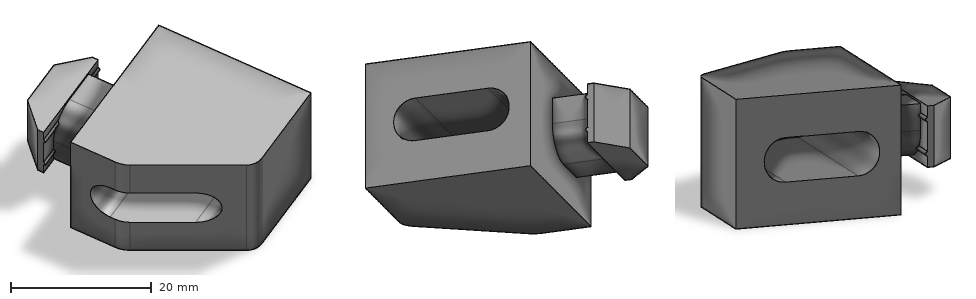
import cadquery as cq
import math

overall_length = 36.3
body_side = 25.0
body_height = 19.0
body_left = overall_length - body_side

slant_angle = math.radians(30)
front_face_length = 8.42
front_corner_radius = 4.15
side_corner_radius = 2.55

slot_length = 17.5
slot_width = 6.5
slot_start = 14.52

head_length = 4.97
head_width = 15.5
head_height = 9.0
head_chamfer = 4.0
head_offset = 11.0
head_axis_y = head_offset - body_side / 2
shank_width = 9.95
shank_height = 8.42
shank_corner_radius = 4.55

ridge_spacing = 5.0
ridge_height = 0.35
ridge_base = 0.73
ridge_tip_radius = 0.1


def make_body():
    """Square block with one slanted, rounded corner and a through slot."""
    half_side = body_side / 2
    slant_start_x = body_left + front_face_length
    slant_rise = (overall_length - slant_start_x) * math.tan(slant_angle)
    slant_end_y = slant_rise - half_side
    block = (
        cq.Workplane("XY")
        .moveTo(body_left, -half_side)
        .lineTo(slant_start_x, -half_side)
        .lineTo(overall_length, slant_end_y)
        .lineTo(overall_length, half_side)
        .lineTo(body_left, half_side)
        .close()
        .extrude(body_height / 2, both=True)
    )
    front_corner = cq.NearestToPointSelector((slant_start_x, -half_side, 0))
    side_corner = cq.NearestToPointSelector((overall_length, slant_end_y, 0))
    block = block.edges("|Z").edges(front_corner).fillet(front_corner_radius)
    block = block.edges("|Z").edges(side_corner).fillet(side_corner_radius)
    slot = (
        cq.Workplane("XZ")
        .center(slot_start + slot_length / 2, 0)
        .slot2D(slot_length, slot_width)
        .extrude(body_side, both=True)
    )
    return block.cut(slot)


def make_head():
    """Block with both vertical edges of its outer face chamfered."""
    return (
        cq.Workplane("XY")
        .box(head_length, head_width, head_height, centered=(False, True, True))
        .edges("|Z and <X")
        .chamfer(head_chamfer)
        .translate((0, head_axis_y, 0))
    )


def make_shank():
    """Bar with two diagonally opposite corners rounded."""
    shank_length = body_left - head_length
    bar = cq.Workplane("XY").box(
        shank_length, shank_width, shank_height, centered=(False, True, True)
    )
    for side in (-1, 1):
        corner = cq.NearestToPointSelector(
            (shank_length / 2, side * shank_width / 2, -side * shank_height / 2)
        )
        bar = bar.edges("|X").edges(corner).fillet(shank_corner_radius)
    return bar.translate((head_length, head_axis_y, 0))


def make_ridge(ridge_z):
    """Triangular ridge with a rounded tip, running across the head."""
    return (
        cq.Workplane("XZ", origin=(head_length, head_axis_y, ridge_z))
        .moveTo(0, -ridge_base / 2)
        .lineTo(ridge_height, 0)
        .lineTo(0, ridge_base / 2)
        .close()
        .extrude(head_width / 2, both=True)
        .edges(">X")
        .fillet(ridge_tip_radius)
    )


result = make_body().union(make_shank()).union(make_head())
for ridge_side in (-1, 1):
    result = result.union(make_ridge(ridge_side * ridge_spacing / 2))